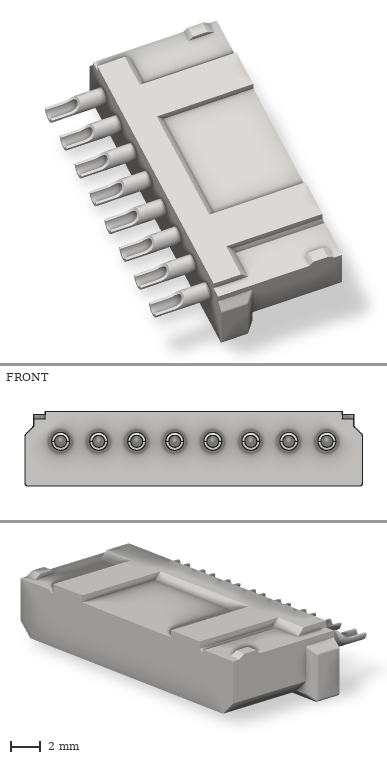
import cadquery as cq
import math


total_width = 22.54
total_height = 5.0
body_length = 9.0
body_half_width = 10.7
body_bottom = 0.5
keel_chamfer = 1.0

flange_length = 2.5
flange_half_width = total_width / 2
flange_step = flange_half_width - body_half_width
flange_shoulder_z = total_height - 1.0
flange_edge_radius = 0.2

recess_depth = 0.5
recess_floor = total_height - recess_depth
recess_end_y = 2.0
centre_recess_half_width = 4.48
rail_outer_x = 7.37
rear_ledge_half_width = 9.93

groove_width = 0.42
groove_depth = groove_width / 2

bump_width = 0.85
bump_height = 0.3
bump_front_y = body_length - 2.4
bump_ramp_base_y = body_length - 0.55
bump_ramp_top_y = body_length - 1.05

pin_count = 8
pin_pitch = 2.54
pin_length = 4.0
pin_radius = 0.6
cup_radius = 0.4
cup_depth = 3.0
pin_z = total_height - 2.0
cup_slope_start = 1.8
cup_arc_radius = 1.0

overlap = 1.0


def prism_along_y(points, y_start, y_end):
    """Extrude an XZ outline from y_start to y_end."""
    plane = cq.Workplane("XZ", origin=(0, y_start, 0))
    return plane.polyline(points).close().extrude(y_start - y_end)


def prism_across_x(points, x_start, x_end):
    """Extrude a YZ outline from x_start to x_end."""
    plane = cq.Workplane("YZ", origin=(x_start, 0, 0))
    return plane.polyline(points).close().extrude(x_end - x_start)


def mirrored(points):
    """Complete a symmetric outline from its +X half, listed in order."""
    return points + [(-x, z) for x, z in reversed(points)]


def make_body():
    """Main block with its two lower long edges chamfered."""
    outline = mirrored([
        (body_half_width - keel_chamfer, body_bottom),
        (body_half_width, body_bottom + keel_chamfer),
        (body_half_width, total_height),
    ])
    return prism_along_y(outline, 0, body_length)


def make_flange():
    """Flange with 45 degree shoulders, sides and underside where it meets the body."""
    outline = mirrored([
        (flange_half_width, 0),
        (flange_half_width, flange_shoulder_z - flange_step),
        (body_half_width, flange_shoulder_z),
    ])
    flange = prism_along_y(outline, 0, flange_length)

    plan = mirrored([
        (flange_half_width, 0),
        (flange_half_width, flange_length - flange_step),
        (body_half_width, flange_length),
    ])
    flange = flange.intersect(cq.Workplane("XY").polyline(plan).close().extrude(total_height))

    side_profile = [
        (0, 0),
        (flange_length - flange_step, 0),
        (flange_length, flange_step),
        (flange_length, total_height),
        (0, total_height),
    ]
    flange = flange.intersect(prism_across_x(side_profile, -flange_half_width, flange_half_width))

    side_rims = flange.faces("<X or >X").edges("not(<Y)")
    slanted = flange.edges("not(#X or #Y or #Z)")
    return side_rims.add(slanted).fillet(flange_edge_radius)


def recess_cutter(x_start, x_end):
    """Cutter for a top recess whose inner end rises at 45 degrees."""
    top = total_height + overlap
    profile = [
        (recess_end_y - overlap, top),
        (recess_end_y + recess_depth + overlap, recess_floor - overlap),
        (body_length + overlap, recess_floor - overlap),
        (body_length + overlap, top),
    ]
    return prism_across_x(profile, x_start, x_end)


def side_recess(side):
    """Side recess with the V groove beside the rail; side is -1 or +1."""
    outer_x = body_half_width + overlap
    groove_outer_x = rail_outer_x + groove_width
    section = [
        (rail_outer_x, total_height + overlap),
        (rail_outer_x, recess_floor),
        (rail_outer_x + groove_width / 2, recess_floor - groove_depth),
        (groove_outer_x, recess_floor),
        (outer_x, recess_floor),
        (outer_x, total_height + overlap),
    ]
    section = [(side * x, z) for x, z in section]
    limits = sorted((side * rail_outer_x, side * outer_x))
    cutter = prism_along_y(section, 0, body_length + overlap)
    return cutter.intersect(recess_cutter(*limits))


def centre_recess():
    """Recess between the rails; its rear end rises at 45 degrees."""
    block = cq.Workplane("XY").box(
        2 * centre_recess_half_width, body_length + overlap, recess_depth + overlap,
        centered=(True, False, False),
    ).translate((0, 0, recess_floor))
    return block.intersect(recess_cutter(-centre_recess_half_width, centre_recess_half_width))


def rear_ledge(side):
    """Strip beside the rear platform, lowered to the recess floor."""
    width = body_half_width - rear_ledge_half_width + overlap
    return cq.Workplane("XY").box(
        width, body_length, recess_depth + overlap, centered=(True, False, False),
    ).translate((side * (rear_ledge_half_width + width / 2), 0, recess_floor))


def latch_bump(side):
    """Ramped bump on a side recess, rooted below the recess floor."""
    crest = recess_floor + bump_height
    profile = [
        (bump_front_y, recess_floor),
        (bump_front_y + bump_height, crest),
        (bump_ramp_top_y, crest),
        (bump_ramp_base_y, recess_floor),
        (bump_ramp_base_y, recess_floor - recess_depth),
        (bump_front_y, recess_floor - recess_depth),
    ]
    limits = sorted((side * (body_half_width - bump_width), side * body_half_width))
    return prism_across_x(profile, *limits)


def solder_pin():
    """Round terminal on X = 0 with its outer end hollowed and cut open at the top."""
    pin = cq.Workplane("XZ", origin=(0, 0, pin_z)).circle(pin_radius).extrude(pin_length)
    cup = cq.Workplane("XZ", origin=(0, cup_depth - pin_length, pin_z)).circle(cup_radius).extrude(cup_depth)

    arc_angle = math.acos(1 - pin_radius / cup_arc_radius)
    flat_start_y = -cup_slope_start - cup_arc_radius * math.sin(arc_angle)
    arc_mid = (
        flat_start_y + cup_arc_radius * math.sin(arc_angle / 2),
        pin_z + cup_arc_radius * (1 - math.cos(arc_angle / 2)),
    )
    arc_end = (-cup_slope_start, pin_z + pin_radius)
    top = pin_z + pin_radius + overlap
    opening = (
        cq.Workplane("YZ", origin=(-pin_radius - overlap, 0, 0))
        .moveTo(-pin_length - overlap, pin_z)
        .lineTo(flat_start_y, pin_z)
        .threePointArc(arc_mid, arc_end)
        .lineTo(-cup_slope_start, top)
        .lineTo(-pin_length - overlap, top)
        .close()
        .extrude(2 * (pin_radius + overlap))
    )
    return pin.cut(cup).cut(opening)


housing = make_body().union(make_flange()).cut(centre_recess())
for side in (-1, 1):
    housing = housing.cut(side_recess(side)).cut(rear_ledge(side)).union(latch_bump(side))

result = housing
pin = solder_pin()
for index in range(pin_count):
    pin_x = (index - (pin_count - 1) / 2) * pin_pitch
    result = result.union(pin.translate((pin_x, 0, 0)))